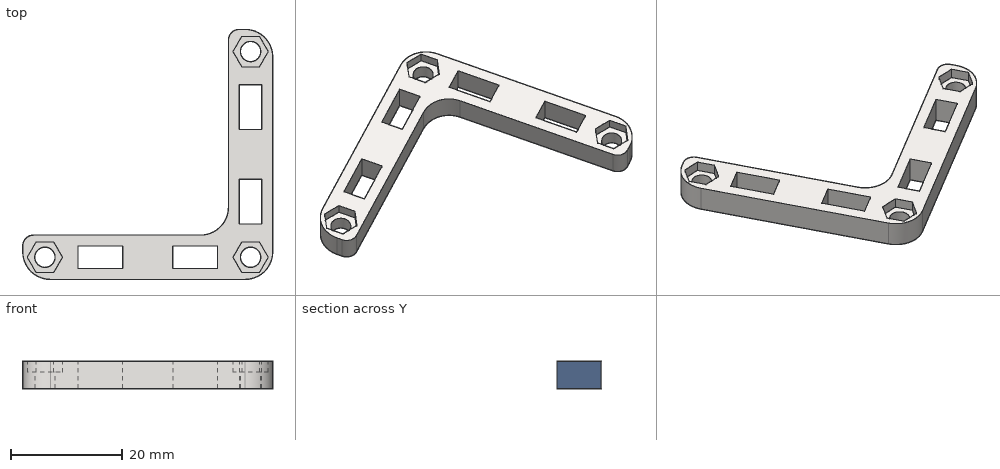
import cadquery as cq
import math

side = 45.0
thickness = 5.0
arm_width = 8.0
outer_radius = 5.0
tip_radius = 2.0

hole_diameter = 3.6
nut_across_flats = 5.5
nut_across_corners = nut_across_flats / math.cos(math.pi / 6)
nut_depth = 2.0

slot_length = 8.0
slot_width = 4.0
slot_inset = 14.0

arm_middle = arm_width / 2
column_x = side - arm_middle
slot_places = (slot_inset, side - slot_inset)


def make_body():
    inner_x = side - arm_width
    body = (
        cq.Workplane("XY")
        .polyline([
            (0, 0),
            (side, 0),
            (side, side),
            (inner_x, side),
            (inner_x, arm_width),
            (0, arm_width),
        ])
        .close()
        .extrude(thickness)
    )
    large_corners = [(0, 0), (side, 0), (side, side), (inner_x, arm_width)]
    tip_corners = [(inner_x, side), (0, arm_width)]
    for corners, radius in ((large_corners, outer_radius), (tip_corners, tip_radius)):
        for x, y in corners:
            edge = cq.selectors.NearestToPointSelector((x, y, thickness / 2))
            body = body.edges("|Z").edges(edge).fillet(radius)
    return body


def cut_nut_seats(body):
    centres = [
        (arm_middle, arm_middle),
        (column_x, arm_middle),
        (column_x, side - arm_middle),
    ]
    holes = cq.Workplane("XY").pushPoints(centres).circle(hole_diameter / 2).extrude(thickness)
    pockets = (
        cq.Workplane("XY", origin=(0, 0, thickness - nut_depth))
        .pushPoints(centres)
        .polygon(6, nut_across_corners)
        .extrude(nut_depth)
    )
    return body.cut(holes).cut(pockets)


def cut_slots(body):
    for place in slot_places:
        row_slot = (
            cq.Workplane("XY")
            .center(place, arm_middle)
            .rect(slot_length, slot_width)
            .extrude(thickness)
        )
        column_slot = (
            cq.Workplane("XY")
            .center(column_x, place)
            .rect(slot_width, slot_length)
            .extrude(thickness)
        )
        body = body.cut(row_slot).cut(column_slot)
    return body


result = cut_slots(cut_nut_seats(make_body()))